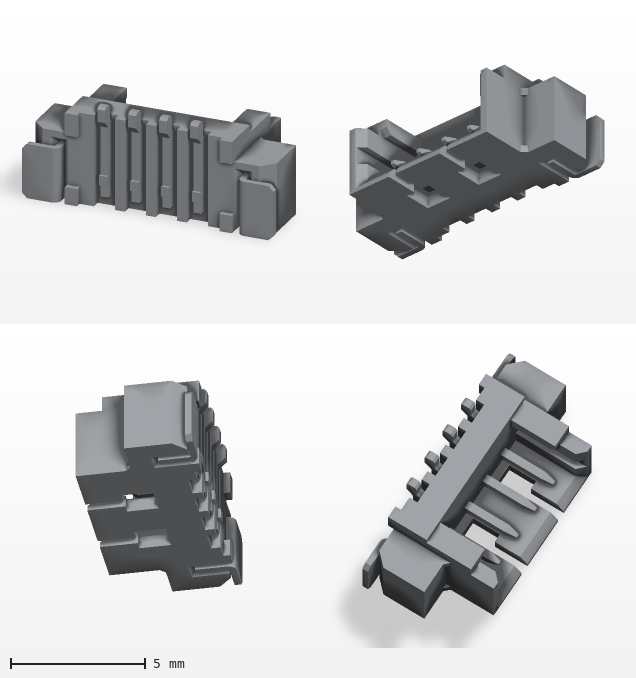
import cadquery as cq
import math


CONTACT_COUNT = 4
PITCH = 1.25
CONTACT_WIDTH = 0.32
CONTACT_TOP = 4.2
CONTACT_BOTTOM = 0.45
TAIL_THICKNESS = 0.45
TAIL_CHAMFER = 0.1
TAIL_BEND_TOP = 3.6
TAIL_SETBACK = 0.3
PIN_BOTTOM = 0.94
PIN_TOP = 1.34
PIN_REAR_Y = 0.18
PIN_SHOULDER_Y = 3.5
PIN_TIP_Y = 4.0
PIN_TIP_WIDTH = 0.15

BODY_LENGTH = 6.75
BODY_BACK = 4.7
BODY_FRONT = 0.3
SHROUD_TOP = 2.8
LIP_TOP = 3.4
WALL_TOP = 3.7
LIP_BACK = 3.7
WALL_BACK = 1.75

CAVITY_WIDTH = 5.52
LIP_GAP = 4.84
LIP_CHAMFER = 0.25
FLOOR_TOP = 0.5
MOUTH_CHAMFER = 0.32
GROOVE_BOTTOM = 1.24
GROOVE_TOP = 1.96
GROOVE_DEPTH = 0.3

WINDOW_OFFSET = PITCH
WINDOW_WIDTH = 1.1
WINDOW_FRONT = 2.08
WINDOW_BACK = 3.26
WINDOW_SLOT_WIDTH = 0.4

CHANNEL_WIDTH = 0.85
CHANNEL_DEPTH = 0.35
PAD_FRONT = 0.05
PAD_WIDTH = 0.5
LOWER_PAD_HEIGHT = 0.7

EAR_LENGTH = 9.75
EAR_BACK = 2.6
EAR_CHAMFER = 0.5
GUSSET_SIZE = 0.2
GUSSET_HEIGHT = 0.3

TAB_LENGTH = 10.15
TAB_THICKNESS = 0.25
TAB_HEIGHT = 2.2
TAB_CHAMFER = 0.2
TAB_INNER_RADIUS = 0.05
TAB_LEG_INNER_X = 3.6
TAB_LEG_END = 1.5
SLOT_TOP = 2.3
SLOT_TAPER = TAB_LEG_INNER_X - BODY_LENGTH / 2


def box(x0, x1, y0, y1, z0, z1):
    """Axis-aligned block between the given limits."""
    return cq.Workplane("XY").box(x1 - x0, y1 - y0, z1 - z0, centered=False).translate((x0, y0, z0))


def centered_box(center_x, width, y0, y1, z0, z1):
    """Axis-aligned block centred on center_x."""
    return box(center_x - width / 2, center_x + width / 2, y0, y1, z0, z1)


def side_prism(points, center_x, width):
    """Outline in (Y, Z) extruded along X, centred on center_x."""
    prism = cq.Workplane("YZ").polyline(points).close().extrude(width / 2, both=True)
    return prism.translate((center_x, 0, 0))


def both_sides(shape):
    """The shape together with its mirror image across X = 0."""
    return shape.union(shape.mirror("YZ"))


def contact_positions():
    first = -PITCH * (CONTACT_COUNT - 1) / 2
    return [first + PITCH * i for i in range(CONTACT_COUNT)]


def make_shell():
    """Outer housing block, stepped down toward the mating end."""
    profile = [
        (BODY_FRONT, 0),
        (BODY_BACK, 0),
        (BODY_BACK, SHROUD_TOP),
        (LIP_BACK, SHROUD_TOP),
        (LIP_BACK, LIP_TOP),
        (WALL_BACK, LIP_TOP),
        (WALL_BACK, WALL_TOP),
        (BODY_FRONT, WALL_TOP),
    ]
    return side_prism(profile, 0, BODY_LENGTH)


def make_ear():
    """Ear on the +X side with its two corner gussets."""
    inner_x = BODY_LENGTH / 2
    outer_x = EAR_LENGTH / 2
    outline = [
        (inner_x, BODY_FRONT),
        (outer_x - EAR_CHAMFER, BODY_FRONT),
        (outer_x, BODY_FRONT + EAR_CHAMFER),
        (outer_x, EAR_BACK),
        (inner_x, EAR_BACK),
    ]
    ear = cq.Workplane("XY").polyline(outline).close().extrude(SHROUD_TOP)
    gusset = (
        cq.Workplane("XY")
        .polyline([(inner_x, EAR_BACK), (inner_x + GUSSET_SIZE, EAR_BACK), (inner_x, EAR_BACK + GUSSET_SIZE)])
        .close()
        .extrude(GUSSET_HEIGHT)
    )
    for bottom in (0, SHROUD_TOP - GUSSET_HEIGHT):
        ear = ear.union(gusset.translate((0, 0, bottom)))
    return ear


def make_pads():
    """Upper and lower stand-off pads at the +X end of the front face."""
    outer_x = BODY_LENGTH / 2
    inner_x = outer_x - PAD_WIDTH
    upper = box(inner_x, outer_x, PAD_FRONT, BODY_FRONT, SHROUD_TOP, WALL_TOP)
    lower = box(inner_x, outer_x, PAD_FRONT, BODY_FRONT, 0, LOWER_PAD_HEIGHT)
    return upper.union(lower)


def make_cavity():
    """Mating cavity: open at the back and top, with a chamfered mouth and undercut lips."""
    depth = SHROUD_TOP - FLOOR_TOP
    cavity = centered_box(0, CAVITY_WIDTH, WALL_BACK, BODY_BACK, FLOOR_TOP, SHROUD_TOP)

    mouth = (
        cq.Workplane("XZ", origin=(0, BODY_BACK, 0))
        .rect(CAVITY_WIDTH + 2 * MOUTH_CHAMFER, 2 * (depth + MOUTH_CHAMFER))
        .workplane(offset=MOUTH_CHAMFER)
        .rect(CAVITY_WIDTH, 2 * depth)
        .loft(ruled=True)
        .translate((0, 0, SHROUD_TOP))
    )
    cavity = cavity.union(mouth)

    lip_cut = [
        (WALL_BACK, SHROUD_TOP),
        (LIP_BACK - LIP_CHAMFER, SHROUD_TOP),
        (LIP_BACK, SHROUD_TOP + LIP_CHAMFER),
        (LIP_BACK, LIP_TOP),
        (WALL_BACK, LIP_TOP),
    ]
    cavity = cavity.union(side_prism(lip_cut, 0, LIP_GAP))
    lip_edge = [
        (LIP_BACK - LIP_CHAMFER, SHROUD_TOP),
        (LIP_BACK, SHROUD_TOP),
        (LIP_BACK, SHROUD_TOP + LIP_CHAMFER),
    ]
    cavity = cavity.union(side_prism(lip_edge, 0, CAVITY_WIDTH))

    groove_width = CAVITY_WIDTH + 2 * GROOVE_DEPTH
    return cavity.union(centered_box(0, groove_width, WALL_BACK, BODY_BACK, GROOVE_BOTTOM, GROOVE_TOP))


def make_window(center_x):
    """T-shaped opening through the cavity floor, narrow toward the mating end."""
    wide = centered_box(center_x, WINDOW_WIDTH, WINDOW_FRONT, WINDOW_BACK, 0, FLOOR_TOP)
    narrow = centered_box(center_x, WINDOW_SLOT_WIDTH, WINDOW_BACK, BODY_BACK, 0, FLOOR_TOP)
    return wide.union(narrow)


def make_channel(center_x):
    """Full-height front channel around one contact."""
    return centered_box(center_x, CHANNEL_WIDTH, BODY_FRONT, BODY_FRONT + CHANNEL_DEPTH, 0, WALL_TOP)


def make_tab_slot():
    """Slot for the tab leg in the +X ear, with tapered lead-ins at its front and bottom openings."""
    center_x = TAB_LEG_INNER_X + TAB_THICKNESS / 2
    slot_length = TAB_LEG_END - BODY_FRONT
    mouth_width = TAB_THICKNESS + 2 * SLOT_TAPER
    slot = centered_box(center_x, TAB_THICKNESS, BODY_FRONT, TAB_LEG_END, 0, SLOT_TOP)
    front_lead_in = (
        cq.Workplane("XZ", origin=(center_x, BODY_FRONT, 0))
        .rect(mouth_width, 2 * (SLOT_TOP + SLOT_TAPER))
        .workplane(offset=-SLOT_TAPER)
        .rect(TAB_THICKNESS, 2 * SLOT_TOP)
        .loft(ruled=True)
    )
    bottom_lead_in = (
        cq.Workplane("XY", origin=(center_x, BODY_FRONT, 0))
        .rect(mouth_width, 2 * (slot_length + SLOT_TAPER))
        .workplane(offset=SLOT_TAPER)
        .rect(TAB_THICKNESS, 2 * slot_length)
        .loft(ruled=True)
    )
    return slot.union(front_lead_in).union(bottom_lead_in)


def make_solder_tab():
    """L-bent solder tab on the +X side: a flat pad and a leg set into the ear."""
    outer_radius = TAB_INNER_RADIUS + TAB_THICKNESS
    leg_outer_x = TAB_LEG_INNER_X + TAB_THICKNESS
    bend_x = TAB_LEG_INNER_X + outer_radius
    diagonal = math.cos(math.radians(45))
    tip_x = TAB_LENGTH / 2
    outer_mid = (bend_x - outer_radius * diagonal, outer_radius - outer_radius * diagonal)
    inner_mid = (bend_x - TAB_INNER_RADIUS * diagonal, outer_radius - TAB_INNER_RADIUS * diagonal)
    return (
        cq.Workplane("XY")
        .moveTo(tip_x, 0)
        .lineTo(bend_x, 0)
        .threePointArc(outer_mid, (TAB_LEG_INNER_X, outer_radius))
        .lineTo(TAB_LEG_INNER_X, TAB_LEG_END)
        .lineTo(leg_outer_x, TAB_LEG_END)
        .lineTo(leg_outer_x, outer_radius)
        .threePointArc(inner_mid, (bend_x, TAB_THICKNESS))
        .lineTo(tip_x, TAB_THICKNESS)
        .close()
        .extrude(TAB_HEIGHT)
        .faces(">X")
        .edges("|Y")
        .chamfer(TAB_CHAMFER)
    )


def make_contact(center_x):
    """Contact: solder tail, cranked shank in the front channel and tapered mating pin."""
    bend_bottom = TAIL_BEND_TOP - TAIL_SETBACK
    shank_back = TAIL_SETBACK + TAIL_THICKNESS
    profile = [
        (TAIL_CHAMFER, CONTACT_TOP),
        (0, CONTACT_TOP - TAIL_CHAMFER),
        (0, TAIL_BEND_TOP),
        (TAIL_SETBACK, bend_bottom),
        (TAIL_SETBACK, CONTACT_BOTTOM),
        (shank_back, CONTACT_BOTTOM),
        (shank_back, bend_bottom),
        (TAIL_THICKNESS, TAIL_BEND_TOP),
        (TAIL_THICKNESS, CONTACT_TOP - TAIL_CHAMFER),
        (TAIL_THICKNESS - TAIL_CHAMFER, CONTACT_TOP),
    ]
    contact = side_prism(profile, center_x, CONTACT_WIDTH)
    pin = centered_box(center_x, CONTACT_WIDTH, PIN_REAR_Y, PIN_SHOULDER_Y, PIN_BOTTOM, PIN_TOP)
    tip = (
        cq.Workplane("XZ", origin=(center_x, PIN_SHOULDER_Y, (PIN_BOTTOM + PIN_TOP) / 2))
        .rect(CONTACT_WIDTH, PIN_TOP - PIN_BOTTOM)
        .workplane(offset=PIN_SHOULDER_Y - PIN_TIP_Y)
        .rect(PIN_TIP_WIDTH, PIN_TIP_WIDTH)
        .loft(ruled=True)
    )
    return contact.union(pin).union(tip)


def make_housing():
    housing = make_shell().union(both_sides(make_ear()))
    housing = housing.cut(both_sides(make_tab_slot())).union(both_sides(make_pads())).cut(make_cavity())
    for center_x in (-WINDOW_OFFSET, WINDOW_OFFSET):
        housing = housing.cut(make_window(center_x))
    for center_x in contact_positions():
        housing = housing.cut(make_channel(center_x))
    return housing


result = make_housing().union(both_sides(make_solder_tab()))
for contact_x in contact_positions():
    result = result.union(make_contact(contact_x))